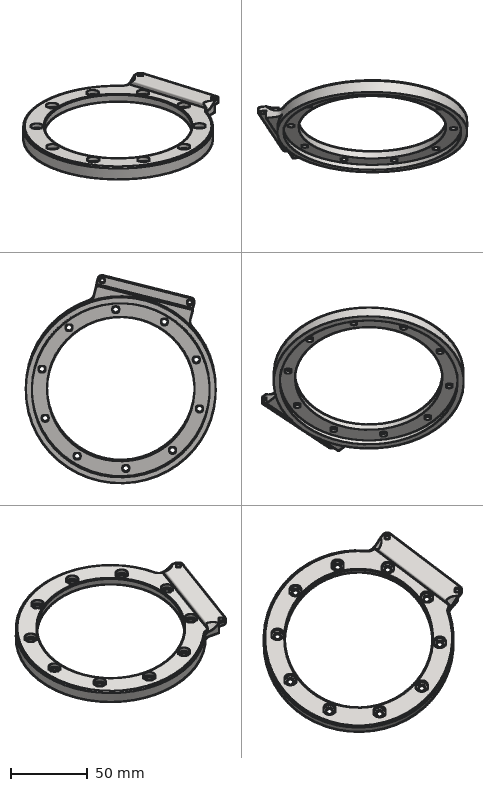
import cadquery as cq
import math

outer_radius = 124.0 / 2
bore_radius = 48.1
ring_height = 9.0
outer_chamfer = 1.0
bore_chamfer = 0.5

recess_radius = 58.0
recess_depth = 3.5

bolt_count = 10
bolt_circle_radius = 53.0
bolt_hole_diameter = 4.5
counterbore_diameter = 8.0
counterbore_depth = 3.0

overall_length = 131.0
overall_height = 12.0
tab_half_width = 32.5
tab_back = overall_length - outer_radius
tab_front = 55.3
tab_base_back = 62.9
tab_base_bottom = recess_depth
tab_corner_radius = 3.0
tab_edge_radius = 1.0
tab_hole_diameter = 3.4

blend_radius = 5.0
blend_x = tab_half_width + blend_radius
blend_y = math.sqrt((outer_radius + blend_radius) ** 2 - blend_x**2)
tangent_scale = outer_radius / (outer_radius + blend_radius)
tangent_x = blend_x * tangent_scale
tangent_y = blend_y * tangent_scale


def make_ring():
    profile = (
        cq.Workplane("XZ")
        .moveTo(bore_radius, recess_depth)
        .lineTo(recess_radius, recess_depth)
        .lineTo(recess_radius, 0)
        .lineTo(outer_radius, 0)
        .lineTo(outer_radius, ring_height - outer_chamfer)
        .lineTo(outer_radius - outer_chamfer, ring_height)
        .lineTo(bore_radius + bore_chamfer, ring_height)
        .lineTo(bore_radius, ring_height - bore_chamfer)
        .close()
    )
    return profile.revolve(360, (0, 0, 0), (0, 1, 0))


def make_neck():
    """Base of the tab, widening through the blends into the ring."""
    return (
        cq.Workplane("XY", origin=(0, 0, tab_base_bottom))
        .moveTo(-tab_half_width, tab_base_back)
        .lineTo(-tab_half_width, blend_y)
        .radiusArc((-tangent_x, tangent_y), blend_radius)
        .lineTo(tangent_x, tangent_y)
        .radiusArc((tab_half_width, blend_y), blend_radius)
        .lineTo(tab_half_width, tab_base_back)
        .close()
        .extrude(ring_height - tab_base_bottom)
    )


def make_tab_plate():
    """Raised plate that overhangs the neck at the back."""
    return (
        cq.Workplane("XY", origin=(0, (tab_front + tab_back) / 2, ring_height))
        .rect(2 * tab_half_width, tab_back - tab_front)
        .extrude(overall_height - ring_height)
        .edges("|Z and >Y")
        .fillet(tab_corner_radius)
        .edges(">Z and <Y")
        .fillet(tab_edge_radius)
    )


def make_blend_chamfer(side):
    """45-degree cone that carries the ring chamfer round a blend and up the tab."""
    bottom = ring_height - outer_chamfer
    rise = overall_height - bottom
    cone = cq.Workplane(
        cq.Solid.makeCone(
            blend_radius,
            blend_radius + rise,
            rise,
            pnt=cq.Vector(side * blend_x, blend_y, bottom),
        )
    )
    sector = (
        cq.Workplane("XY", origin=(0, 0, bottom))
        .polyline([(0, 0), (2 * side * blend_x, 2 * blend_y), (0, 2 * blend_y)])
        .close()
        .extrude(rise)
    )
    return cone.intersect(sector)


def make_bolt_holes():
    holes = (
        cq.Workplane("XY")
        .polarArray(bolt_circle_radius, 0, 360, bolt_count)
        .circle(bolt_hole_diameter / 2)
        .extrude(ring_height)
    )
    counterbores = (
        cq.Workplane("XY", origin=(0, 0, ring_height - counterbore_depth))
        .polarArray(bolt_circle_radius, 0, 360, bolt_count)
        .circle(counterbore_diameter / 2)
        .extrude(counterbore_depth)
    )
    return holes.union(counterbores)


def make_tab_holes():
    """Through holes concentric with the rounded tab corners."""
    hole_x = tab_half_width - tab_corner_radius
    hole_y = tab_back - tab_corner_radius
    return (
        cq.Workplane("XY")
        .pushPoints([(-hole_x, hole_y), (hole_x, hole_y)])
        .circle(tab_hole_diameter / 2)
        .extrude(overall_height)
    )


result = make_ring().union(make_neck()).union(make_tab_plate())
for side in (-1, 1):
    result = result.cut(make_blend_chamfer(side))
result = result.cut(make_bolt_holes()).cut(make_tab_holes())